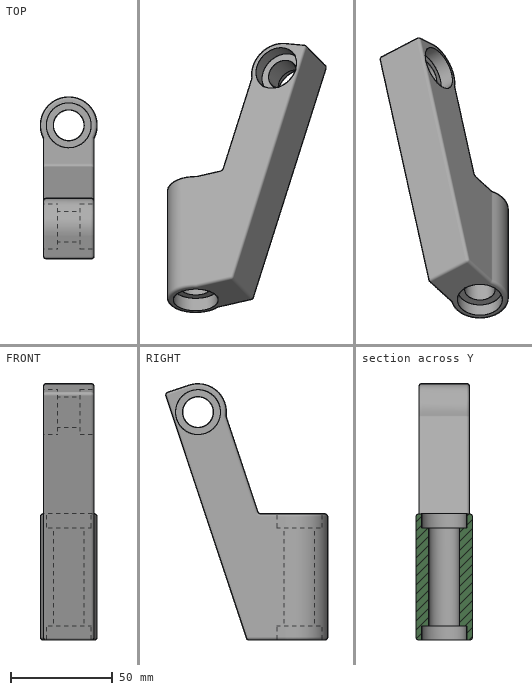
import cadquery as cq
import math

arm_width = 25.0
boss_diameter = 28.1
boss_height = 62.4
overall_height = 126.5
lean_angle = math.radians(18.4)
pivot_y = -50.0
bearing_diameter = 22.1
bearing_depth = 7.0
bore_diameter = 15.0
edge_radius = 1.5

half_width = arm_width / 2
boss_radius = boss_diameter / 2
pivot_z = overall_height - boss_radius
lean_sin = math.sin(lean_angle)
lean_cos = math.cos(lean_angle)


def arm_point(across, along):
    """Y, Z of a point set off from the pivot, across (+Y side) and along the arm."""
    return (
        pivot_y + across * lean_cos - along * lean_sin,
        pivot_z + across * lean_sin + along * lean_cos,
    )


def arm_face_y(across, height):
    """Y of a lengthwise arm face at the given height."""
    return pivot_y + across / lean_cos + (pivot_z - height) * math.tan(lean_angle)


def make_arm():
    """Side outline with a rounded head, extruded across X."""
    head_start = -math.sqrt(boss_radius**2 - half_width**2)
    head_middle = boss_radius * math.sqrt(0.5)
    return (
        cq.Workplane("YZ")
        .moveTo(0, 0)
        .lineTo(arm_face_y(-half_width, 0), 0)
        .lineTo(*arm_point(-half_width, boss_radius))
        .lineTo(*arm_point(0, boss_radius))
        .threePointArc(arm_point(head_middle, head_middle), arm_point(half_width, head_start))
        .lineTo(arm_face_y(half_width, boss_height), boss_height)
        .lineTo(0, boss_height)
        .close()
        .extrude(half_width, both=True)
    )


def make_bore(plane, length):
    """Through bore along the plane normal, with a bearing seat at each end."""
    bore = plane.circle(bore_diameter / 2).extrude(length)
    seat_radius = bearing_diameter / 2
    for start in (0, length - bearing_depth):
        seat = plane.workplane(offset=start).circle(seat_radius).extrude(bearing_depth)
        bore = bore.union(seat)
    return bore


boss = cq.Workplane("XY").circle(boss_radius).extrude(boss_height)
body = make_arm().union(boss).clean()
body = body.edges().fillet(edge_radius)

boss_bore = make_bore(cq.Workplane("XY"), boss_height)
pivot_plane = cq.Workplane("YZ", origin=(-half_width, pivot_y, pivot_z))
result = body.cut(boss_bore).cut(make_bore(pivot_plane, arm_width))